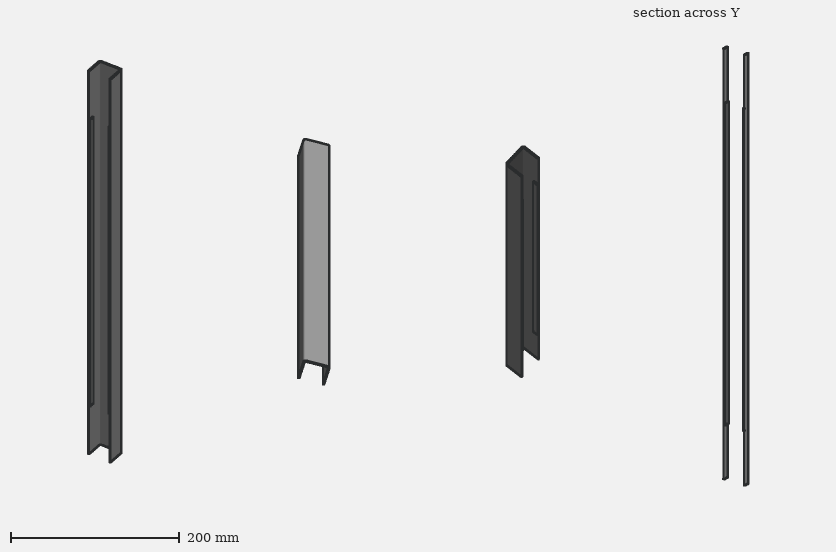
import cadquery as cq

LENGTH = 558.0
SHEET = 1.55
INNER_BEND = 1.05
OUTER_BEND = INNER_BEND + SHEET
WEB_FLAT = 27.0
LEG_FLAT = 22.5
WIDTH = WEB_FLAT + 2 * OUTER_BEND
DEPTH = LEG_FLAT + OUTER_BEND

STRIP_LENGTH = 417.5
STRIP_WIDTH = 6.5
STRIP_THICKNESS = 1.55


def make_channel():
    """U-shaped channel with concentric bends between the web and the legs."""
    outer = cq.Workplane("XY").box(WIDTH, DEPTH, LENGTH)
    outer = outer.edges("|Z and >Y").fillet(OUTER_BEND)
    inside = cq.Workplane("XY").box(WIDTH - 2 * SHEET, DEPTH, LENGTH)
    inside = inside.edges("|Z and >Y").fillet(INNER_BEND)
    return outer.cut(inside.translate((0, -SHEET, 0)))


def make_strip(side):
    """Flat strip on the inner face of one leg, flush with its free edge; side is -1 or +1 along X."""
    x_center = side * (WIDTH / 2 - SHEET - STRIP_THICKNESS / 2)
    y_center = (STRIP_WIDTH - DEPTH) / 2
    strip = cq.Workplane("XY").box(STRIP_THICKNESS, STRIP_WIDTH, STRIP_LENGTH)
    return strip.translate((x_center, y_center, 0))


channel = make_channel()
strips = [make_strip(side) for side in (-1, 1)]

result = cq.Compound.makeCompound([channel.val(), *[strip.val() for strip in strips]])